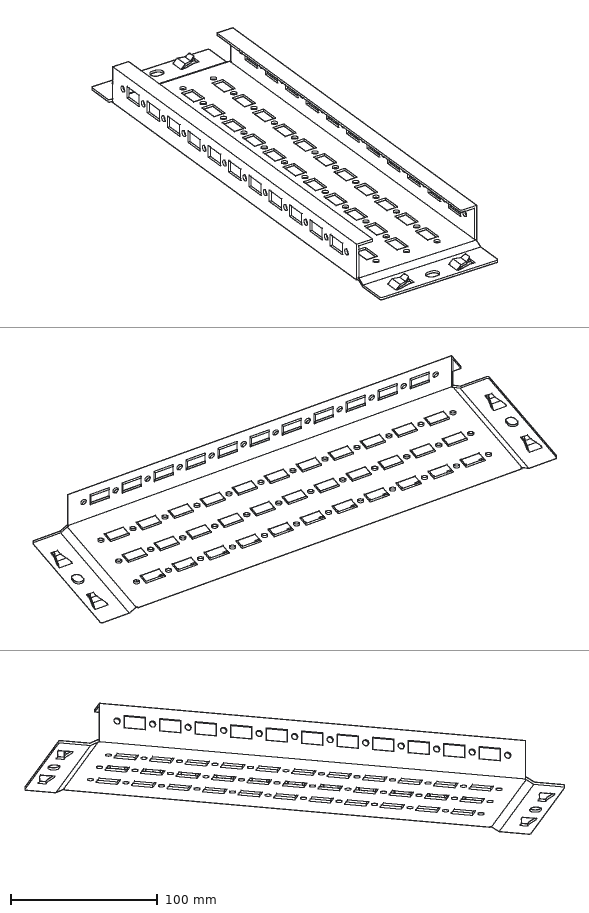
import cadquery as cq

LENGTH = 356.0
WIDTH = 98.5
HEIGHT = 31.0

SHEET = 1.8
WALL_LENGTH = 299.8
LIP_WIDTH = 13.0
FLOOR_OFFSET = 3.0
FLOOR_OVERHANG = 1.0
JOGGLE_LENGTH = 5.5
JOGGLE_SHIFT = 0.5
WALL_STEP = 1.0
BASE_WIDTH = WIDTH - 2 * WALL_STEP
TAB_CORNER_RADIUS = 1.5

HOLE_COUNT = 12
PITCH = WALL_LENGTH / HOLE_COUNT
HOLE_DIAMETER = 4.3
WINDOW_LENGTH = 15.0
WINDOW_HEIGHT = 9.0
FLOOR_ROWS = (-PITCH, 0, PITCH)
WALL_ROW_Z = 19.2

TAB_FEATURE_X = 169.5
TAB_SLOT_WIDTH = 7.5
TAB_SLOT_LENGTH = 10.0
HOOK_ROWS = (-PITCH, PITCH)

HOOK_FOOT_Y = -8.5
HOOK_SHELF_START_Y = -5.0
HOOK_SHELF_END_Y = 0.5
HOOK_TIP_Y = 3.5
HOOK_OPENING_END_Y = 8.0
HOOK_ROOT_WIDTH = 10.0
HOOK_TIP_WIDTH = 5.5
HOOK_SHELF_Z = 5.0
HOOK_TIP_Z = 7.5


def make_base():
    """Floor with a joggled mounting tab at each end."""
    end = LENGTH / 2
    bend_high = WALL_LENGTH / 2 + FLOOR_OVERHANG
    bend_low = bend_high + JOGGLE_LENGTH
    lower_edge = [
        (-end, 0),
        (-bend_low + JOGGLE_SHIFT, 0),
        (-bend_high + JOGGLE_SHIFT, FLOOR_OFFSET),
        (bend_high - JOGGLE_SHIFT, FLOOR_OFFSET),
        (bend_low - JOGGLE_SHIFT, 0),
        (end, 0),
    ]
    upper_edge = [
        (end, SHEET),
        (bend_low, SHEET),
        (bend_high, FLOOR_OFFSET + SHEET),
        (-bend_high, FLOOR_OFFSET + SHEET),
        (-bend_low, SHEET),
        (-end, SHEET),
    ]
    base = (
        cq.Workplane("XZ")
        .polyline(lower_edge + upper_edge)
        .close()
        .extrude(BASE_WIDTH / 2, both=True)
    )
    corners = base.faces("<X or >X").edges("|Z")
    return corners.fillet(TAB_CORNER_RADIUS)


def make_channel():
    """Side walls, inward lips and the floor strip between the walls."""
    wall_height = HEIGHT - FLOOR_OFFSET
    middle_z = FLOOR_OFFSET + wall_height / 2
    outside = cq.Workplane("XY").box(WALL_LENGTH, WIDTH, wall_height)
    inside = cq.Workplane("XY").box(WALL_LENGTH, WIDTH - 2 * SHEET, wall_height - 2 * SHEET)
    mouth = cq.Workplane("XY").box(WALL_LENGTH, WIDTH - 2 * LIP_WIDTH, wall_height)
    mouth = mouth.translate((0, 0, wall_height / 2))
    return outside.cut(inside).cut(mouth).translate((0, 0, middle_z))


def perforation_row(plane, row, depth):
    """Cutters for one row of holes and windows, on both sides of the plane."""
    holes = (
        cq.Workplane(plane)
        .center(0, row)
        .rarray(PITCH, 3.5, HOLE_COUNT, 1)
        .circle(HOLE_DIAMETER / 2)
        .extrude(depth, both=True)
    )
    windows = (
        cq.Workplane(plane)
        .center(0, row)
        .rarray(PITCH, 3.5, HOLE_COUNT - 1, 1)
        .rect(WINDOW_LENGTH, WINDOW_HEIGHT)
        .extrude(depth, both=True)
    )
    return holes.add(windows).combine()


def hook_outline(x, row):
    """Plan shape of a hook as a tall prism: wide foot, tapered shelf and tip, straight end."""
    root = HOOK_ROOT_WIDTH / 2
    tip = HOOK_TIP_WIDTH / 2
    return (
        cq.Workplane("XY")
        .center(x, row)
        .moveTo(-root, HOOK_FOOT_Y)
        .lineTo(root, HOOK_FOOT_Y)
        .lineTo(root, HOOK_SHELF_START_Y)
        .lineTo(tip, HOOK_TIP_Y)
        .lineTo(tip, HOOK_OPENING_END_Y)
        .lineTo(-tip, HOOK_OPENING_END_Y)
        .lineTo(-tip, HOOK_TIP_Y)
        .lineTo(-root, HOOK_SHELF_START_Y)
        .close()
        .extrude(HEIGHT)
    )


def make_hook(x, row):
    """Tongue that steps up from the tab to a shelf and then to a raised tip."""
    top_edge = [
        (HOOK_FOOT_Y, SHEET),
        (HOOK_SHELF_START_Y, HOOK_SHELF_Z),
        (HOOK_SHELF_END_Y, HOOK_SHELF_Z),
        (HOOK_TIP_Y, HOOK_TIP_Z),
    ]
    under_edge = [(y, z - SHEET) for y, z in reversed(top_edge)]
    strip = (
        cq.Workplane("YZ")
        .polyline(top_edge + under_edge)
        .close()
        .extrude(HOOK_ROOT_WIDTH / 2, both=True)
        .translate((x, row, 0))
    )
    return strip.intersect(hook_outline(x, row))


result = make_base().union(make_channel())

for floor_row in FLOOR_ROWS:
    result = result.cut(perforation_row("XY", floor_row, FLOOR_OFFSET + 2 * SHEET))
result = result.cut(perforation_row("XZ", WALL_ROW_Z, WIDTH))

for tab_x in (-TAB_FEATURE_X, TAB_FEATURE_X):
    tab_slot = (
        cq.Workplane("XY")
        .center(tab_x, 0)
        .slot2D(TAB_SLOT_LENGTH, TAB_SLOT_WIDTH, 90)
        .extrude(SHEET)
    )
    result = result.cut(tab_slot)
    for hook_row in HOOK_ROWS:
        result = result.cut(hook_outline(tab_x, hook_row))
        result = result.union(make_hook(tab_x, hook_row))